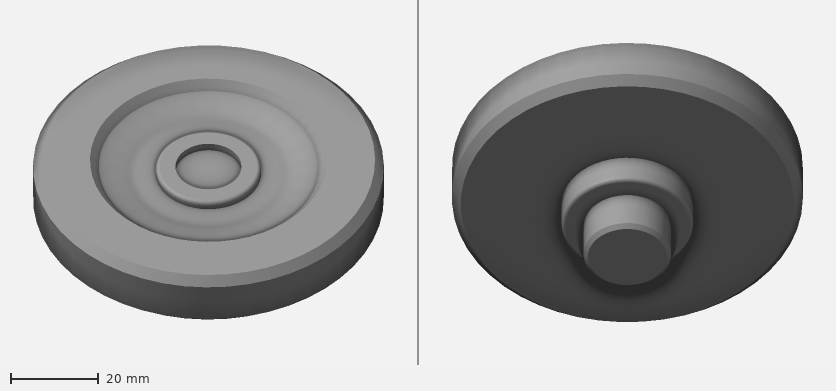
import cadquery as cq

rim_diameter = 80.0
rim_height = 14.0
rim_chamfer = 2.0

hub_diameter = 30.0
hub_length = 7.0
hub_edge_radius = 1.0
pin_diameter = 20.0
pin_length = 10.0
pin_chamfer = 1.0

recess_diameter = 54.0
recess_chamfer = 2.0
floor_diameter = 35.2
floor_depth = 4.0
floor_blend_radius = 5.6

boss_diameter = 24.0
boss_depth = 2.0
boss_edge_radius = 1.0
boss_hole_diameter = 15.0
boss_hole_depth = 2.0


def disc(diameter, bottom, height):
    """Cylinder on the Z axis, starting at the given height."""
    return cq.Workplane("XY").workplane(offset=bottom).circle(diameter / 2).extrude(height)


def make_recess():
    """Solid of revolution removed from the top face: chamfered mouth, cone blended into a flat floor."""
    mouth_radius = recess_diameter / 2
    return (
        cq.Workplane("XZ")
        .moveTo(0, rim_height)
        .lineTo(mouth_radius, rim_height)
        .lineTo(mouth_radius - recess_chamfer, rim_height - recess_chamfer)
        .lineTo(floor_diameter / 2, rim_height - floor_depth)
        .lineTo(0, rim_height - floor_depth)
        .close()
        .revolve(360, (0, 0, 0), (0, 1, 0))
        .faces("<Z")
        .edges()
        .fillet(floor_blend_radius)
    )


def make_boss():
    """Centre boss with a rounded top edge, standing on the recess floor."""
    boss = disc(boss_diameter, rim_height - floor_depth, floor_depth - boss_depth)
    return boss.faces(">Z").edges().fillet(boss_edge_radius)


rim = disc(rim_diameter, 0, rim_height).edges().chamfer(rim_chamfer)
hub = disc(hub_diameter, -hub_length, hub_length).faces("<Z").edges().fillet(hub_edge_radius)
pin = disc(pin_diameter, -hub_length - pin_length, pin_length).faces("<Z").edges().chamfer(pin_chamfer)
boss_hole = disc(boss_hole_diameter, rim_height - boss_depth - boss_hole_depth, boss_hole_depth)

result = rim.cut(make_recess()).union(make_boss()).union(hub).union(pin).cut(boss_hole)